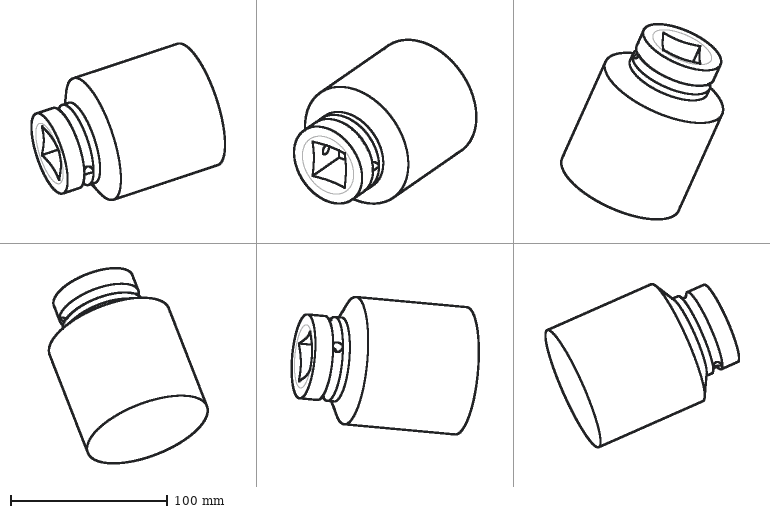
import cadquery as cq
import math

length = 105.0
body_diameter = 82.0
neck_diameter = 54.1

cone_start = 23.0
cone_end = 31.1

groove_center = 15.1
groove_width = 6.5
groove_depth = 2.6
pin_hole_diameter = 6.5

square_side = 25.4
square_depth = 29.4
lead_in_diameter = 40.6
lead_in_angle = 15.0


def make_body():
    """Neck, retaining groove, conical shoulder and body, revolved about Y."""
    body_radius = body_diameter / 2
    neck_radius = neck_diameter / 2
    groove_front = groove_center - groove_width / 2
    groove_back = groove_center + groove_width / 2
    groove_mid_radius = neck_radius - groove_depth
    profile = (
        cq.Workplane("XY")
        .lineTo(neck_radius, 0)
        .lineTo(neck_radius, groove_front)
        .threePointArc((groove_mid_radius, groove_center), (neck_radius, groove_back))
        .lineTo(neck_radius, cone_start)
        .lineTo(body_radius, cone_end)
        .lineTo(body_radius, length)
        .lineTo(0, length)
        .close()
    )
    return profile.revolve(360, (0, 0, 0), (0, 1, 0))


def make_square_recess():
    """Blind square hole for the drive."""
    return cq.Workplane("XZ").rect(square_side, square_side).extrude(-square_depth)


def make_lead_in():
    """Cone that eases the drive into the square recess."""
    radius = lead_in_diameter / 2
    depth = radius * math.tan(math.radians(lead_in_angle))
    profile = cq.Workplane("XY").lineTo(radius, 0).lineTo(0, depth).close()
    return profile.revolve(360, (0, 0, 0), (0, 1, 0))


def make_pin_hole():
    """Cross hole along X through the groove."""
    return (
        cq.Workplane("YZ")
        .center(groove_center, 0)
        .circle(pin_hole_diameter / 2)
        .extrude(neck_diameter / 2, both=True)
    )


result = make_body().cut(make_square_recess()).cut(make_lead_in()).cut(make_pin_hole())